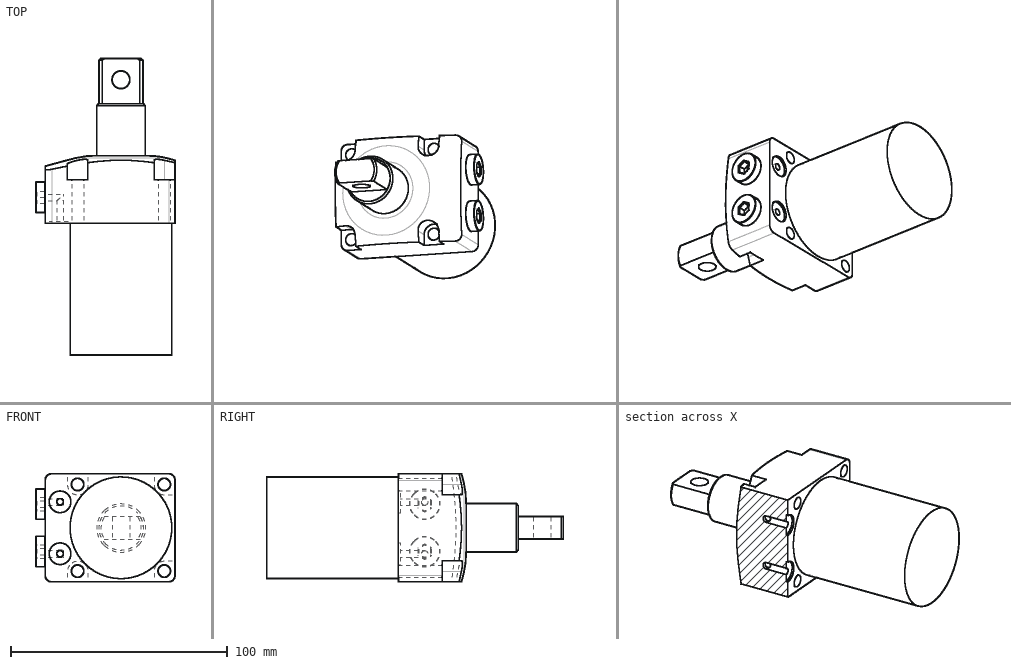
import cadquery as cq
import math


block_height = 50.0
block_width = 60.0
block_right = block_height / 2
block_left = block_width - block_right
block_depth = 31.2
corner_radius = 3.0

crown_flat_radius = 17.3
crown_angle = 15
crown_blend_radius = 30.1
crown_outer_radius = 54.8

cylinder_diameter = 47.0
cylinder_length = 60.8

mount_offset = 20.0
mount_hole_diameter = 5.6
pocket_width = 9.5
pocket_floor = 20.1
pocket_reach = 13.7

port_x = -28.1
port_spacing = 24.0
port_hole_diameter = 3.0
seal_recess_diameter = 10.0
seal_recess_depth = 1.0

plug_y = 12.0
plug_spacing = 21.9
plug_diameter = 14.1
plug_height = 4.2
hex_across_flats = 5.5
plug_chamfer = 0.2
hex_depth = 3.8
hex_chamfer = 0.4

overall_length = 137
rod_length = overall_length - cylinder_length - block_depth
rod_diameter = 22.5
rod_chamfer = 1.0
tongue_length = 20.8
tongue_diameter = 20.4
tongue_thickness = 10.5
tongue_chamfer = 1.0
eye_diameter = 8.1
eye_from_end = 9.9


def y_cylinder(diameter, start, end, x=0, z=0):
    """Cylinder parallel to the Y axis between two Y positions."""
    base = cq.Workplane("XZ", origin=(x, start, z))
    return base.circle(diameter / 2).extrude(start - end)


def make_block():
    """Rounded block whose back is trimmed to a shallow cone with a flat centre."""
    block = (
        cq.Workplane("XY")
        .box(block_width, block_depth, block_height)
        .edges("|Y")
        .fillet(corner_radius)
        .translate(((block_right - block_left) / 2, block_depth / 2, 0))
    )
    crown_drop = (crown_outer_radius - crown_flat_radius) * math.tan(math.radians(crown_angle))
    blend_reach = crown_blend_radius * math.tan(math.radians(crown_angle) / 2)
    blend_end_radius = crown_flat_radius + blend_reach * math.cos(math.radians(crown_angle))
    blend_end_drop = blend_reach * math.sin(math.radians(crown_angle))
    crown = (
        cq.Workplane("XY")
        .lineTo(crown_outer_radius, 0)
        .lineTo(crown_outer_radius, block_depth - crown_drop)
        .lineTo(blend_end_radius, block_depth - blend_end_drop)
        .radiusArc((crown_flat_radius - blend_reach, block_depth), -crown_blend_radius)
        .lineTo(0, block_depth)
        .close()
        .revolve(360, (0, 0, 0), (0, 1, 0))
    )
    return block.intersect(crown)


def pocket_slot(x, z, reach_x, reach_z):
    """Straight slot from a mounting hole centre out through a side of the block."""
    size_x = abs(reach_x) or pocket_width
    size_z = abs(reach_z) or pocket_width
    depth = block_depth - pocket_floor
    centre = (x + reach_x / 2, pocket_floor + depth / 2, z + reach_z / 2)
    return cq.Workplane("XY").box(size_x, depth, size_z).translate(centre)


def cut_mounting_holes(housing):
    """Four through holes; every pocket opens up or down, the right-hand ones also to the right."""
    for x in (-mount_offset, mount_offset):
        for side in (-1, 1):
            z = side * mount_offset
            housing = housing.cut(y_cylinder(mount_hole_diameter, 0, block_depth, x, z))
            housing = housing.cut(y_cylinder(pocket_width, pocket_floor, block_depth, x, z))
            housing = housing.cut(pocket_slot(x, z, 0, side * pocket_reach))
            if x > 0:
                housing = housing.cut(pocket_slot(x, z, pocket_reach, 0))
                corner = pocket_slot(x + pocket_reach / 2, z, 0, side * pocket_reach)
                housing = housing.cut(corner)
    return housing


def cut_ports(housing):
    """Front ports with a seal recess, each meeting a passage from under its plug."""
    passage_length = block_left + port_x + port_hole_diameter / 2
    for z in (-port_spacing / 2, port_spacing / 2):
        passage = (
            cq.Workplane("YZ", origin=(-block_left, plug_y, z))
            .circle(port_hole_diameter / 2)
            .extrude(passage_length)
        )
        housing = housing.cut(y_cylinder(seal_recess_diameter, 0, seal_recess_depth, port_x, z))
        housing = housing.cut(y_cylinder(port_hole_diameter, 0, plug_y, port_x, z))
        housing = housing.cut(passage)
    return housing


def make_housing():
    """Block and cylinder in one piece."""
    cylinder = y_cylinder(cylinder_diameter, -cylinder_length, 0)
    return cut_ports(cut_mounting_holes(make_block().union(cylinder)))


def make_rod():
    """Round rod standing on the crown, ending in a flat tongue with a cross eye."""
    rod_end = block_depth + rod_length
    shoulder = rod_end - tongue_length
    shank = y_cylinder(rod_diameter, block_depth, shoulder).faces(">Y").chamfer(rod_chamfer)
    flats = (
        cq.Workplane("XY")
        .box(tongue_diameter, tongue_length, tongue_thickness)
        .translate((0, shoulder + tongue_length / 2, 0))
    )
    tongue = y_cylinder(tongue_diameter, shoulder, rod_end).faces(">Y").chamfer(tongue_chamfer)
    eye = (
        cq.Workplane("XY", origin=(0, rod_end - eye_from_end, 0))
        .circle(eye_diameter / 2)
        .extrude(tongue_thickness, both=True)
    )
    return shank.union(tongue.intersect(flats)).cut(eye)


def make_plug(z):
    """Chamfered round plug on the left face, with a hexagon socket whose points face up and down."""
    hex_radius = hex_across_flats / math.sqrt(3)
    hex_points = [
        (hex_radius * math.sin(math.radians(angle)), hex_radius * math.cos(math.radians(angle)))
        for angle in range(0, 360, 60)
    ]
    plug_face = -block_left - plug_height
    plug = (
        cq.Workplane("YZ", origin=(plug_face, plug_y, z))
        .circle(plug_diameter / 2)
        .extrude(plug_height)
        .faces("<X or >X")
        .chamfer(plug_chamfer)
    )
    socket = (
        cq.Workplane("YZ", origin=(plug_face, plug_y, z))
        .polyline(hex_points)
        .close()
        .extrude(hex_depth)
    )
    socket_mouth = cq.selectors.LengthNthSelector(0)
    return plug.cut(socket).faces("<X").wires(socket_mouth).chamfer(hex_chamfer)


housing = make_housing()
rod = make_rod()
plugs = [make_plug(z) for z in (-plug_spacing / 2, plug_spacing / 2)]

bodies = [housing, rod, *plugs]
result = cq.Compound.makeCompound([body.val() for body in bodies])